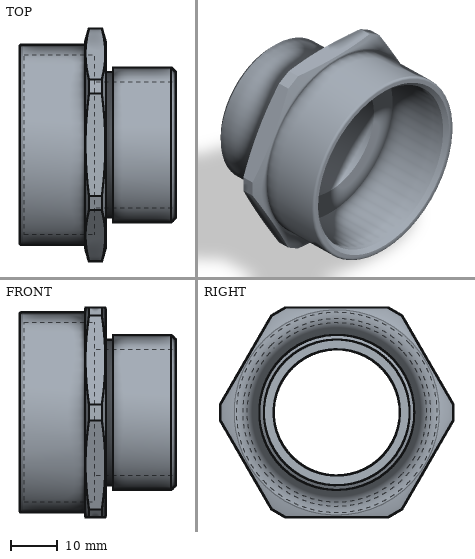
import cadquery as cq
import math


socket_length = 14.0
hex_length = 4.5
neck_length = 1.5
thread_length = 13.5
socket_depth = 16.0

socket_diameter = 43.0
socket_bore_diameter = 38.5
neck_diameter = 31.25
thread_diameter = 33.25
through_bore_diameter = 27.0

across_flats = 45.0
corner_trim = 1.0
hex_face_diameter = 44.0
hex_bevel_angle = 16.0

socket_edge_radius = 0.5
socket_bore_chamfer = 0.9
thread_chamfer = 1.0

hex_start = socket_length
hex_end = hex_start + hex_length
thread_start = hex_end + neck_length
total_length = thread_start + thread_length


def cylinder(start, length, diameter):
    """Round bar along X."""
    return cq.Workplane("YZ", origin=(start, 0, 0)).circle(diameter / 2).extrude(length)


def make_socket():
    """Plain sleeve with a rounded outer rim."""
    return cylinder(0, socket_length, socket_diameter).faces("<X").edges().fillet(socket_edge_radius)


def make_hexagon():
    """Hexagon with flat-trimmed corners along Y and conical bevels on both end faces."""
    corner_radius = across_flats / math.sqrt(3)
    edge_trim = 2 * corner_trim
    prism = (
        cq.Workplane("YZ", origin=(hex_start, 0, 0))
        .polygon(6, 2 * corner_radius)
        .extrude(hex_length)
        .edges("|X")
        .chamfer(edge_trim)
    )
    face_radius = hex_face_diameter / 2
    bevel_depth = (corner_radius - face_radius) * math.tan(math.radians(hex_bevel_angle))
    bevel_envelope = (
        cq.Workplane("XY")
        .moveTo(hex_start, 0)
        .lineTo(hex_start, face_radius)
        .lineTo(hex_start + bevel_depth, corner_radius)
        .lineTo(hex_end - bevel_depth, corner_radius)
        .lineTo(hex_end, face_radius)
        .lineTo(hex_end, 0)
        .close()
        .revolve(360, (0, 0, 0), (1, 0, 0))
    )
    return prism.intersect(bevel_envelope)


def make_spigot():
    """Relief neck followed by the male thread body with a chamfered tip."""
    neck = cylinder(hex_end, neck_length, neck_diameter)
    thread = cylinder(thread_start, thread_length, thread_diameter)
    return neck.union(thread.faces(">X").edges().chamfer(thread_chamfer))


def make_bores():
    """Socket bore with a chamfered mouth, and the smaller bore through the whole part."""
    socket_bore = cylinder(0, socket_depth, socket_bore_diameter)
    bore_radius = socket_bore_diameter / 2
    mouth = (
        cq.Workplane("XY")
        .moveTo(0, 0)
        .lineTo(0, bore_radius + socket_bore_chamfer)
        .lineTo(socket_bore_chamfer, bore_radius)
        .lineTo(socket_bore_chamfer, 0)
        .close()
        .revolve(360, (0, 0, 0), (1, 0, 0))
    )
    through_bore = cylinder(0, total_length, through_bore_diameter)
    return socket_bore.union(mouth).union(through_bore)


result = make_socket().union(make_hexagon()).union(make_spigot()).cut(make_bores())